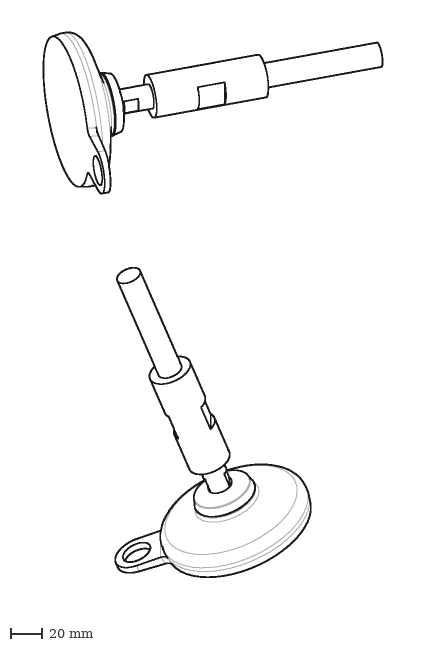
import cadquery as cq
import math


foot_radius = 50.0
sole_radius = 49.0
skirt_height = 5.8
shoulder_height = 14.2
shoulder_fillet = 7.3
dome_angle = math.radians(18.4)

neck_radius = 20.2
neck_fillet = 2.3
collar_base_height = 26.5
collar_radius = 20.7
collar_lip = 0.5
collar_draft = math.radians(15)
collar_fillet = 0.7
foot_top_height = 36.0

lug_width = 30.0
lug_end_radius = lug_width / 2
lug_center_x = 68.0
lug_hole_diameter = 19.0
lug_tip_thickness = 4.0
lug_slope_start_x = 51.5
lug_root_fillet = 5.0
lug_tip_x = lug_center_x + lug_end_radius

rod_diameter = 16.0
rod_end = 210.0
rod_flat_width = 13.0
rod_flat_start = 36.8
rod_flat_end = 46.3

sleeve_diameter = 28.0
sleeve_start = 56.5
sleeve_end = 131.5
sleeve_flat_width = 22.0
sleeve_flat_length = 18.0


def along_y(height):
    """Workplane at the given height whose normal points along +Y."""
    return cq.Workplane(cq.Plane(origin=(0, height, 0), xDir=(1, 0, 0), normal=(0, 1, 0)))


def cylinder(diameter, start, end):
    return along_y(start).circle(diameter / 2).extrude(end - start)


def revolve_profile(points):
    """Turn a half section of (radius, height) points about the Y axis."""
    return cq.Workplane("XY").polyline(points).close().revolve(360, (0, 0, 0), (0, 1, 0))


def ring_edges_at(height):
    """Selector for the circular edges lying at one height."""
    reach = 0.01
    return cq.selectors.BoxSelector((-reach, height - reach, -reach), (reach, height + reach, reach))


def make_lug():
    outline = (
        along_y(0)
        .moveTo(0, -lug_end_radius)
        .lineTo(lug_center_x, -lug_end_radius)
        .threePointArc((lug_tip_x, 0), (lug_center_x, lug_end_radius))
        .lineTo(0, lug_end_radius)
        .close()
        .extrude(skirt_height)
    )
    side = (
        cq.Workplane("XY")
        .polyline([
            (0, 0),
            (lug_tip_x, 0),
            (lug_tip_x, lug_tip_thickness),
            (lug_slope_start_x, skirt_height),
            (0, skirt_height),
        ])
        .close()
        .extrude(lug_end_radius, both=True)
    )
    return outline.intersect(side)


def make_base():
    """Drafted skirt with the lug blended into it."""
    skirt = revolve_profile([(0, 0), (sole_radius, 0), (foot_radius, skirt_height), (0, skirt_height)])
    root_x = math.sqrt(foot_radius**2 - lug_end_radius**2)
    root_margin = 1.0
    root_zone = cq.selectors.BoxSelector(
        (root_x - root_margin, root_margin, -lug_end_radius - root_margin),
        (root_x + root_margin, skirt_height - root_margin, lug_end_radius + root_margin),
    )
    base = skirt.union(make_lug()).edges(root_zone).fillet(lug_root_fillet)
    lug_hole = cylinder(lug_hole_diameter, 0, skirt_height).translate((lug_center_x, 0, 0))
    return base.cut(lug_hole)


def make_dome():
    """Shoulder, cone, neck and collar above the skirt."""
    neck_height = shoulder_height + (foot_radius - neck_radius) * math.tan(dome_angle)
    slope = math.tan(collar_draft)
    collar_side_start = collar_base_height + collar_lip
    top_rise = foot_top_height - collar_side_start
    rod_radius = rod_diameter / 2
    side_rise = (top_rise - (collar_radius - rod_radius) * slope) / (1 - slope**2)
    collar_top_height = collar_side_start + side_rise
    collar_top_radius = collar_radius - side_rise * slope
    dome = revolve_profile([
        (0, skirt_height),
        (foot_radius, skirt_height),
        (foot_radius, shoulder_height),
        (neck_radius, neck_height),
        (neck_radius, collar_base_height),
        (collar_radius, collar_side_start),
        (collar_top_radius, collar_top_height),
        (rod_radius, foot_top_height),
        (0, foot_top_height),
    ])
    dome = dome.edges(ring_edges_at(shoulder_height)).fillet(shoulder_fillet)
    dome = dome.edges(ring_edges_at(neck_height)).fillet(neck_fillet)
    return dome.edges(ring_edges_at(collar_top_height)).fillet(collar_fillet)


def wrench_flats(stock_diameter, flat_width, start, end):
    """Pair of cutters leaving parallel flats that face -X and +X."""
    depth = (stock_diameter - flat_width) / 2
    offset = (flat_width + depth) / 2
    return (
        along_y(start)
        .pushPoints([(-offset, 0), (offset, 0)])
        .rect(depth, stock_diameter)
        .extrude(end - start)
    )


def make_stud():
    rod = cylinder(rod_diameter, foot_top_height, rod_end)
    return rod.cut(wrench_flats(rod_diameter, rod_flat_width, rod_flat_start, rod_flat_end))


def make_foot():
    return make_base().union(make_dome()).union(make_stud())


def make_sleeve():
    sleeve_flat_start = (sleeve_start + sleeve_end - sleeve_flat_length) / 2
    sleeve_flat_end = sleeve_flat_start + sleeve_flat_length
    sleeve = cylinder(sleeve_diameter, sleeve_start, sleeve_end)
    sleeve = sleeve.cut(wrench_flats(sleeve_diameter, sleeve_flat_width, sleeve_flat_start, sleeve_flat_end))
    return sleeve.cut(cylinder(rod_diameter, sleeve_start, sleeve_end))


foot = make_foot()
sleeve = make_sleeve()
result = cq.Compound.makeCompound([foot.val(), sleeve.val()])